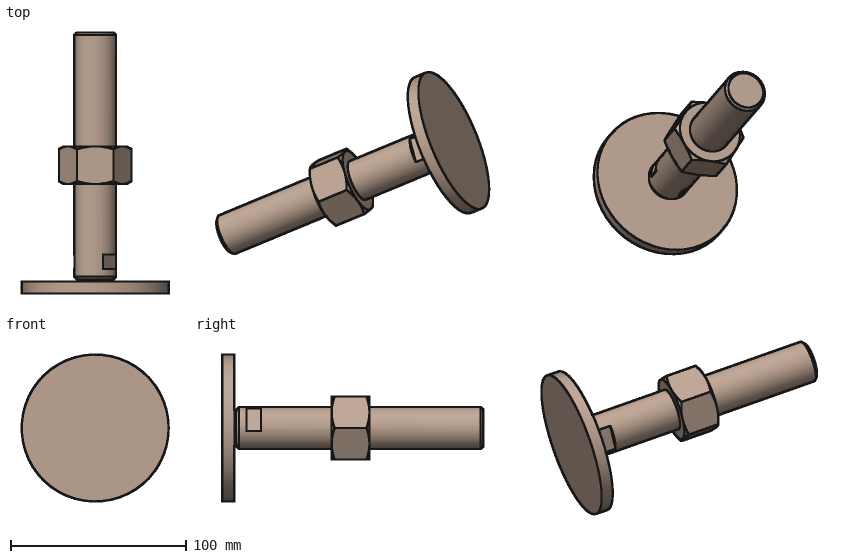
import cadquery as cq
import math

total_length = 149.0

plate_diameter = 84.0
plate_thickness = 7.0
hub_base_diameter = 20.5
hub_top_diameter = 18.5
hub_height = 1.0

spindle_diameter = 24.0
spindle_start = plate_thickness + hub_height
foot_end_chamfer = 1.6
free_end_chamfer = 1.5

flats_across = 19.0
flats_start = 14.0
flats_length = 8.2
flats_angle = 30.0

nut_across_flats = 36.0
nut_height = 21.5
nut_start = 62.5
nut_chamfer_angle = 30.0


def cylinder_along_y(diameter, start, length):
    """Round bar on the common axis from Y = start to Y = start + length."""
    base = cq.Workplane("XZ", origin=(0, start, 0))
    return base.circle(diameter / 2).extrude(-length)


def make_foot_plate():
    """Round disc with a low conical hub."""
    disc = cylinder_along_y(plate_diameter, 0, plate_thickness)
    hub_solid = cq.Solid.makeCone(
        hub_base_diameter / 2,
        hub_top_diameter / 2,
        hub_height,
        pnt=cq.Vector(0, plate_thickness, 0),
        dir=cq.Vector(0, 1, 0),
    )
    return disc.union(cq.Workplane(hub_solid))


def make_spindle():
    """Chamfered rod with two opposite spanner flats near the foot."""
    rod = cylinder_along_y(spindle_diameter, spindle_start, total_length - spindle_start)
    rod = rod.faces("<Y").chamfer(foot_end_chamfer)
    rod = rod.faces(">Y").chamfer(free_end_chamfer)

    cutter_depth = spindle_diameter / 2
    for side in (-1, 1):
        cutter = cq.Workplane("XY").box(cutter_depth, flats_length, 2 * spindle_diameter)
        cutter = cutter.translate((
            side * (flats_across + cutter_depth) / 2,
            flats_start + flats_length / 2,
            0,
        ))
        cutter = cutter.rotate((0, 0, 0), (0, 1, 0), -flats_angle)
        rod = rod.cut(cutter)
    return rod


def make_nut():
    """Hexagon nut, corners on the X axis, with conical chamfers at both ends."""
    corner_diameter = nut_across_flats / math.cos(math.pi / 6)
    base = cq.Workplane("XZ", origin=(0, nut_start, 0))
    hexagon = base.polygon(6, corner_diameter).extrude(-nut_height)

    face_radius = nut_across_flats / 2
    corner_radius = corner_diameter / 2
    chamfer_depth = (corner_radius - face_radius) * math.tan(math.radians(nut_chamfer_angle))
    nut_end = nut_start + nut_height
    envelope = (
        cq.Workplane("XY")
        .moveTo(0, nut_start)
        .lineTo(face_radius, nut_start)
        .lineTo(corner_radius, nut_start + chamfer_depth)
        .lineTo(corner_radius, nut_end - chamfer_depth)
        .lineTo(face_radius, nut_end)
        .lineTo(0, nut_end)
        .close()
        .revolve(360, (0, 0, 0), (0, 1, 0))
    )
    bore = cylinder_along_y(spindle_diameter, nut_start, nut_height)
    return hexagon.intersect(envelope).cut(bore)


foot_plate = make_foot_plate()
spindle = make_spindle()
nut = make_nut()

result = cq.Compound.makeCompound([foot_plate.val(), spindle.val(), nut.val()])